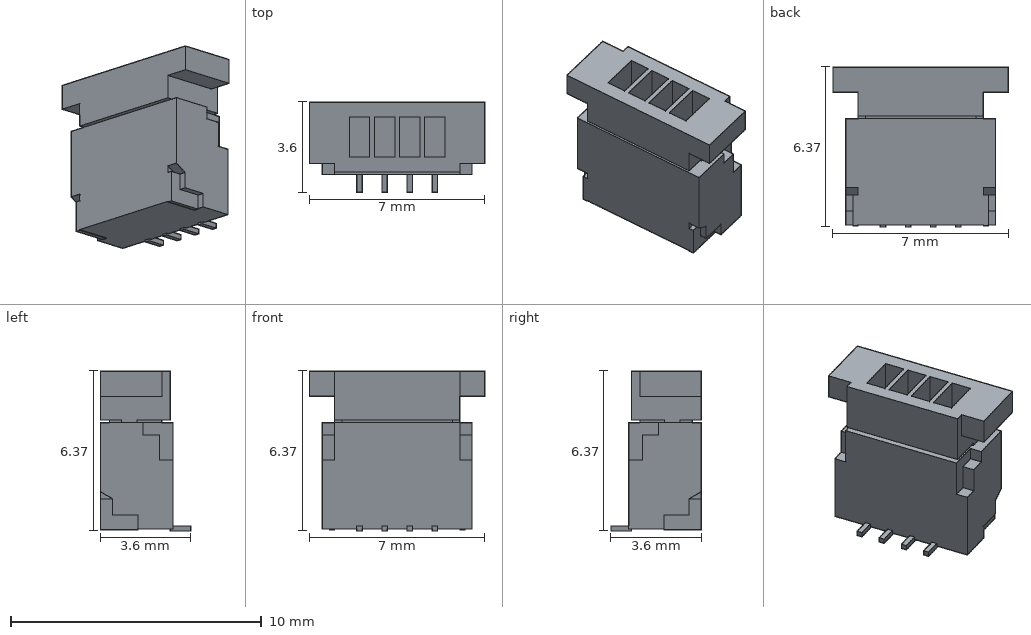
import cadquery as cq


contact_count = 4
pitch = 1.0
pin_width = 0.225
pin_height = 0.2
pin_inner_depth = 2.78
pin_tip_depth = 3.6

header_width = 5.98
header_depth = 2.89
header_bottom = 0.08
header_top = 4.32

notch_width = 0.49
notch_rear_depth = 1.7
notch_step_depth = 2.345
notch_step_z = 3.83
notch_floor_z = 2.83

recess_width = 0.49
recess_slope_z = 1.57
recess_upper_z = 1.29
recess_upper_depth = 0.48
recess_lower_z = 0.645
recess_lower_depth = 1.49
solder_tab_thickness = 0.2
solder_tab_bottom = 0.05

plug_top = 6.37
plug_bottom = 4.425
plug_width = header_width - 2 * notch_width
plug_depth = 2.785
ear_span = 7.0
ear_height = 1.0
ear_depth = 2.45

neck_width = 4.4
neck_rear_depth = 0.35
neck_front_depth = ear_depth
key_rear_depth = 0.84
key_front_depth = 1.455

cavity_width = 0.81
cavity_rear_depth = 0.6
cavity_front_depth = 2.2

contact_positions = [(i - (contact_count - 1) / 2) * pitch for i in range(contact_count)]


def block(x_center, width, rear_depth, front_depth, bottom, top):
    """Box given by its X centre and width, its depths from the back, and its Z range."""
    box = cq.Workplane("XY").box(width, front_depth - rear_depth, top - bottom, centered=(True, False, False))
    return box.translate((x_center, -front_depth, bottom))


def side_prism(depth_z_points, x_start, thickness):
    """Extrude an outline of (depth, Z) points along +X from x_start."""
    outline = [(-depth, z) for depth, z in depth_z_points]
    return cq.Workplane("YZ", origin=(x_start, 0, 0)).polyline(outline).close().extrude(thickness)


def both_ends(shape):
    """The shape together with its mirror image at the other end of the connector."""
    return shape.union(shape.mirror("YZ"))


def corner_notches():
    outline = [
        (notch_rear_depth, header_top),
        (notch_rear_depth, notch_step_z),
        (notch_step_depth, notch_step_z),
        (notch_step_depth, notch_floor_z),
        (header_depth, notch_floor_z),
        (header_depth, header_top),
    ]
    return both_ends(side_prism(outline, header_width / 2 - notch_width, notch_width))


def stepped_corner(rear_top_z, bottom_z, x_start, thickness):
    """Stepped prism at a rear bottom corner; its top slopes when rear_top_z is above the step."""
    outline = [
        (0, bottom_z),
        (0, rear_top_z),
        (recess_upper_depth, recess_upper_z),
        (recess_upper_depth, recess_lower_z),
        (recess_lower_depth, recess_lower_z),
        (recess_lower_depth, bottom_z),
    ]
    return both_ends(side_prism(outline, x_start, thickness))


def make_header():
    body = block(0, header_width, 0, header_depth, header_bottom, header_top)
    recess_wall_x = header_width / 2 - recess_width
    recesses = stepped_corner(recess_slope_z, header_bottom, recess_wall_x, recess_width)
    solder_tabs = stepped_corner(recess_upper_z, solder_tab_bottom, recess_wall_x, solder_tab_thickness)
    return body.cut(corner_notches()).cut(recesses).union(solder_tabs)


def make_plug():
    body = block(0, plug_width, 0, plug_depth, plug_bottom, plug_top)
    ears = block(0, ear_span, 0, ear_depth, plug_top - ear_height, plug_top)
    neck = block(0, neck_width, neck_rear_depth, neck_front_depth, header_top, plug_bottom)
    key = block(0, plug_width, key_rear_depth, key_front_depth, header_top, plug_bottom)
    plug = body.union(ears).union(neck).union(key)
    for x in contact_positions:
        plug = plug.cut(block(x, cavity_width, cavity_rear_depth, cavity_front_depth, plug_bottom, plug_top))
    return plug


result = make_header().union(make_plug())
for x in contact_positions:
    result = result.union(block(x, pin_width, pin_inner_depth, pin_tip_depth, 0, pin_height))